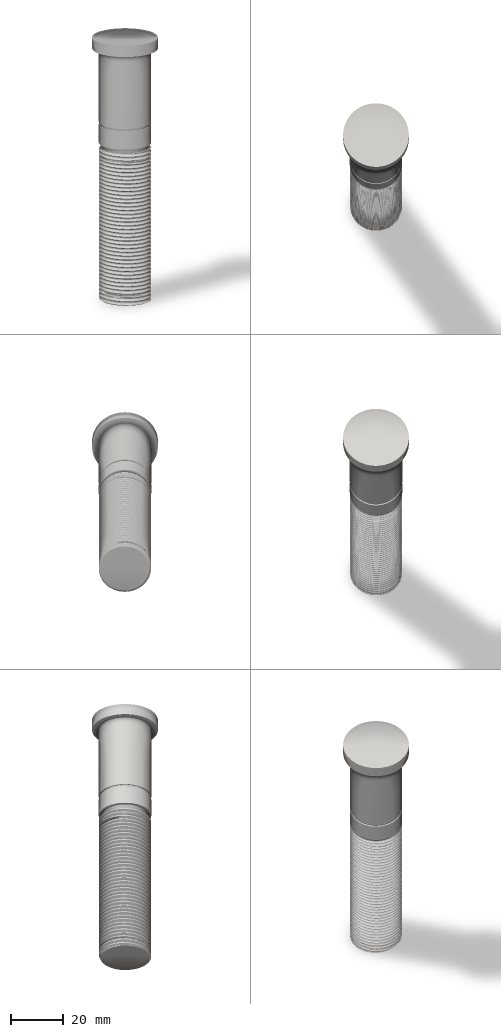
import cadquery as cq
import math

total_length = 103.5
head_diameter = 25.0
head_height = 4.5
shank_diameter = 20.0
shank_end_depth = 41.7
groove_diameter = 19.0
groove_depth_from_top = 33.5
groove_width = 0.9
neck_diameter = 17.5

thread_length = 60.0
thread_turns = 40
thread_root_diameter = 18.1
thread_crest_diameter = 19.9
thread_flank_angle = 60.0
thread_crest_offset = 0.2
ridge_embed = 0.1

thread_pitch = thread_length / thread_turns
thread_crest_width = thread_pitch / 8


def cylinder(diameter, bottom, top):
    return cq.Workplane("XY").workplane(offset=bottom).circle(diameter / 2).extrude(top - bottom)


def make_plain_body():
    """Head, grooved shank and the neck above the thread."""
    shank_bottom = total_length - shank_end_depth
    head_bottom = total_length - head_height
    groove_top = total_length - groove_depth_from_top
    groove_bottom = groove_top - groove_width

    head = cylinder(head_diameter, head_bottom, total_length)
    upper_shank = cylinder(shank_diameter, groove_top, head_bottom)
    groove_floor = cylinder(groove_diameter, groove_bottom, groove_top)
    collar = cylinder(shank_diameter, shank_bottom, groove_bottom)
    neck = cylinder(neck_diameter, thread_length, shank_bottom)
    return head.union(upper_shank).union(groove_floor).union(collar).union(neck)


def make_thread():
    """Helical flat-topped ridge on a round core, trimmed flat at both ends."""
    inner_radius = thread_root_diameter / 2 - ridge_embed
    crest_radius = thread_crest_diameter / 2
    flank_run = (crest_radius - inner_radius) * math.tan(math.radians(thread_flank_angle / 2))
    half_crest = thread_crest_width / 2
    half_base = half_crest + flank_run

    start_height = thread_crest_offset - thread_pitch
    helix_height = thread_length + 2 * thread_pitch
    helix = cq.Wire.makeHelix(
        thread_pitch, helix_height, inner_radius, cq.Vector(0, 0, start_height), lefthand=True
    )
    ridge = (
        cq.Workplane("XZ")
        .moveTo(inner_radius, start_height - half_base)
        .lineTo(crest_radius, start_height - half_crest)
        .lineTo(crest_radius, start_height + half_crest)
        .lineTo(inner_radius, start_height + half_base)
        .close()
        .sweep(cq.Workplane(helix), isFrenet=True)
    )
    trim = cylinder(head_diameter, 0, thread_length)
    core = cylinder(thread_root_diameter, -2 * thread_pitch, thread_length + 2 * thread_pitch)
    return core.union(ridge).intersect(trim)


result = make_plain_body().union(make_thread())